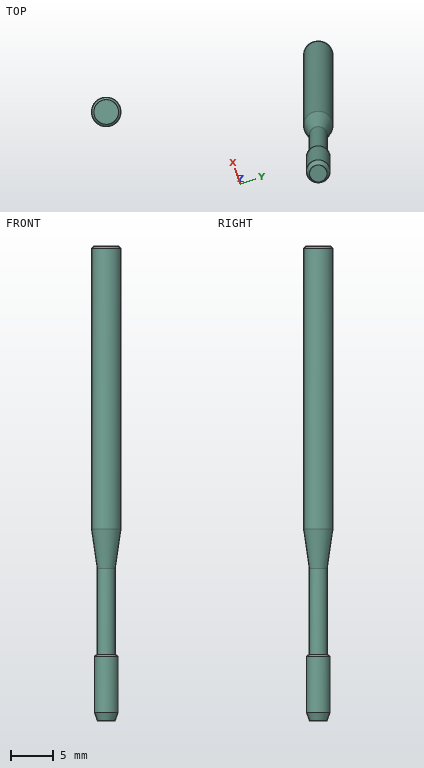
import cadquery as cq

overall_length = 56.0

shank_diameter = 3.5
shank_chamfer = 0.3
shank_bottom_z = 22.6
neck_diameter = 2.1
neck_top_z = 18.0

head_diameter = 2.8
head_length = 7.85
head_top_chamfer_width = 0.35
head_top_chamfer_height = 0.2
tip_diameter = 2.1
tip_taper_height = 1.0


def revolve_profile(points):
    """Revolve a closed half-profile of (radius, height) points about Z."""
    return cq.Workplane("XZ").polyline(points).close().revolve(360, (0, 0), (0, 1))


def make_shank():
    """Round shank with a chamfered end, tapering down to a slim neck."""
    shank_radius = shank_diameter / 2
    neck_radius = neck_diameter / 2
    return revolve_profile([
        (0, head_length),
        (neck_radius, head_length),
        (neck_radius, neck_top_z),
        (shank_radius, shank_bottom_z),
        (shank_radius, overall_length - shank_chamfer),
        (shank_radius - shank_chamfer, overall_length),
        (0, overall_length),
    ])


def make_head():
    """Round head below the neck, with a bevelled shoulder and a tapered tip."""
    head_radius = head_diameter / 2
    return revolve_profile([
        (0, 0),
        (tip_diameter / 2, 0),
        (head_radius, tip_taper_height),
        (head_radius, head_length - head_top_chamfer_height),
        (head_radius - head_top_chamfer_width, head_length),
        (0, head_length),
    ])


shank = make_shank()
head = make_head()

result = cq.Compound.makeCompound([shank.val(), head.val()])